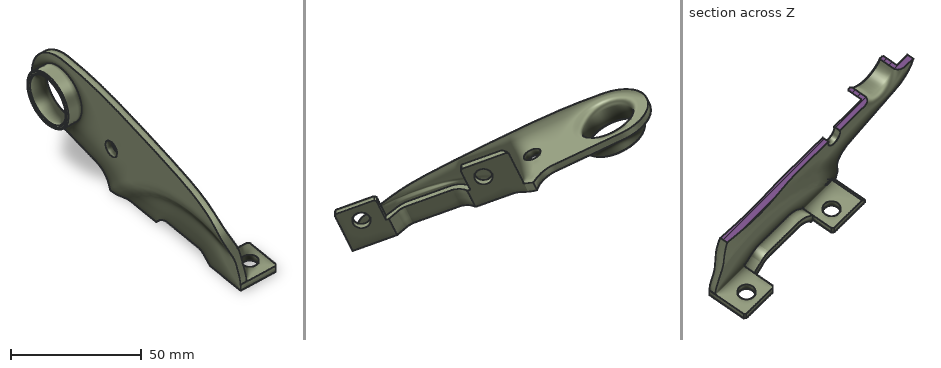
import cadquery as cq
import math

boss_height = 7.0
sheet_thickness = 3.01
plate_front = boss_height
panel_front = plate_front + sheet_thickness
panel_back = panel_front + sheet_thickness
pad_back = 18.0
tab_back = 28.0

length = 122.8
height = 48.0

joggle_x = 95.7
joggle_z = -35.3
joggle_outer_radius = 60.3
joggle_inner_radius = 53.9
outer_bend_tangent = 2.5
inner_bend_tangent = 1.2
back_shift = 2.3
sheet_reach = 147.4

boss_x = 17.8
boss_z = 30.7
boss_diameter = 25.0
bore_diameter = 21.5
boss_chamfer = 0.5
bore_flare_radius = 3.0
pivot_x = 48.2
pivot_z = 22.8
hole_diameter = 7.0

tab_thickness = 3.1
left_tab_start = 50.5
left_tab_end = 70.5
left_tab_bevel = 2.6
right_tab_start = 105.5
tab_hole_xs = (63.5, 114.2)
tab_hole_y = 21.5
tab_corner = 0.7
tab_root_fillet = 1.0

notch_start = 71.7
notch_flat_start = 77.8
notch_flat_end = 97.7
notch_end = 104.3
notch_height = 4.4
pad_top = 7.6


def xz_plane(y):
    """Sketch plane at depth y; its local axes are X and Z and its normal points toward -Y."""
    return cq.Workplane("XZ", origin=(0, y, 0))


def extrude_y(sketch, depth):
    """Extrude an XZ sketch toward +Y."""
    return sketch.extrude(-depth)


def cylinder_y(x, z, diameter, y_start, y_end):
    return extrude_y(xz_plane(y_start).center(x, z).circle(diameter / 2), y_end - y_start)


def bend_ends(outer_radius, inner_radius, y_outer):
    """Start and end points of the two tangent bends of one joggle surface, from outside in."""
    run = outer_radius - inner_radius
    slope = math.atan2(sheet_thickness, run)

    def along(tangent):
        return tangent * math.cos(slope), tangent * math.sin(slope)

    outer_run, outer_rise = along(outer_bend_tangent)
    inner_run, inner_rise = along(inner_bend_tangent)
    y_inner = y_outer + sheet_thickness
    return (
        (outer_radius + outer_bend_tangent, y_outer),
        (outer_radius - outer_run, y_outer + outer_rise),
        (inner_radius + inner_run, y_inner - inner_rise),
        (inner_radius - inner_bend_tangent, y_inner),
    )


def joggled_sheet():
    """Round sheet whose center is pushed back by one sheet thickness."""
    front = bend_ends(joggle_outer_radius, joggle_inner_radius, plate_front)
    back = bend_ends(joggle_outer_radius + back_shift, joggle_inner_radius + back_shift, panel_front)
    profile = (
        cq.Workplane("XY")
        .moveTo(sheet_reach, plate_front)
        .lineTo(*front[0])
        .tangentArcPoint(front[1], relative=False)
        .lineTo(*front[2])
        .tangentArcPoint(front[3], relative=False)
        .lineTo(0, panel_front)
        .lineTo(0, panel_back)
        .lineTo(*back[3])
        .tangentArcPoint(back[2], relative=False)
        .lineTo(*back[1])
        .tangentArcPoint(back[0], relative=False)
        .lineTo(sheet_reach, panel_front)
        .close()
    )
    return profile.revolve(360, (0, 0), (0, 1)).translate((joggle_x, 0, joggle_z))


def arm_outline():
    """Solid through both sheet layers, bounded by the silhouette of the arm."""
    sketch = (
        xz_plane(plate_front)
        .moveTo(left_tab_start, 0)
        .lineTo(47.3, 1.0)
        .lineTo(46.8, 3.3)
        .threePointArc((44.1, 7.6), (38.5, 10.2))
        .lineTo(11.4, 15.4)
        .threePointArc((3.2, 20.0), (0, 29.0))
        .threePointArc((5.9, 42.9), (20.0, height))
        .spline(
            [
                (27.0, 47.9),
                (65.1, 42.0),
                (86.0, 37.1),
                (100.6, 32.3),
                (108.7, 27.6),
                (116.5, 19.0),
                (121.4, 8.6),
                (length, 0),
            ],
            tangents=[(1, 0), (0, -1)],
            includeCurrent=True,
        )
        .close()
    )
    return extrude_y(sketch, panel_back - plate_front)


def notch():
    sketch = (
        xz_plane(0)
        .moveTo(notch_start, 0)
        .threePointArc((74.2, 2.7), (notch_flat_start, notch_height))
        .lineTo(notch_flat_end, notch_height)
        .threePointArc((99.5, 3.8), (101.0, 2.7))
        .lineTo(notch_end, 0)
        .close()
    )
    return extrude_y(sketch, tab_back)


def pad():
    """Raised shelf that follows the notch and joins both tabs."""
    sketch = (
        xz_plane(panel_front)
        .moveTo(left_tab_end, 0)
        .lineTo(left_tab_end, tab_thickness)
        .lineTo(73.1, 5.3)
        .threePointArc((75.7, 6.9), (78.6, pad_top))
        .lineTo(96.8, pad_top)
        .threePointArc((99.4, 7.0), (101.6, 5.7))
        .lineTo(right_tab_start, tab_thickness)
        .lineTo(right_tab_start, 0)
        .close()
    )
    return extrude_y(sketch, pad_back - panel_front)


def tab(x_start, x_end, start_bevel, root_start):
    """Flat foot with clipped rear corners and a small fillet where it meets the panel."""
    foot = extrude_y(
        xz_plane(panel_front).polyline(
            [(x_start, 0), (x_start + start_bevel, tab_thickness), (x_end, tab_thickness), (x_end, 0)]
        ).close(),
        tab_back - panel_front,
    )
    foot = foot.intersect(
        cq.Workplane("XY")
        .polyline(
            [
                (x_start, panel_front),
                (x_end, panel_front),
                (x_end, tab_back - tab_corner),
                (x_end - tab_corner, tab_back),
                (x_start + tab_corner, tab_back),
                (x_start, tab_back - tab_corner),
            ]
        )
        .close()
        .extrude(tab_thickness)
    )
    root = (
        cq.Workplane("YZ", origin=(root_start, 0, 0))
        .moveTo(panel_back, tab_thickness)
        .lineTo(panel_back + tab_root_fillet, tab_thickness)
        .radiusArc((panel_back, tab_thickness + tab_root_fillet), tab_root_fillet)
        .close()
        .extrude(x_end - root_start)
    )
    return foot.union(root)


def boss():
    ring = cylinder_y(boss_x, boss_z, boss_diameter, 0, panel_front)
    return ring.faces("<Y").edges().chamfer(boss_chamfer)


def bore():
    """Bore with a chamfered mouth and a rounded flare through the plate thickness."""
    radius = bore_diameter / 2
    profile = (
        cq.Workplane("XY")
        .lineTo(radius + boss_chamfer, 0)
        .lineTo(radius, boss_chamfer)
        .lineTo(radius, panel_front - bore_flare_radius)
        .tangentArcPoint((radius + bore_flare_radius, panel_front), relative=False)
        .lineTo(0, panel_front)
        .close()
    )
    return profile.revolve(360, (0, 0), (0, 1)).translate((boss_x, 0, boss_z))


result = joggled_sheet().intersect(arm_outline())
result = result.union(boss()).union(pad())
result = result.union(tab(left_tab_start, left_tab_end, left_tab_bevel, left_tab_start + left_tab_bevel))
result = result.union(tab(right_tab_start, length, 0, right_tab_start))
result = result.cut(notch()).cut(bore())
result = result.cut(cylinder_y(pivot_x, pivot_z, hole_diameter, 0, tab_back))
tab_holes = cq.Workplane("XY").pushPoints([(x, tab_hole_y) for x in tab_hole_xs])
result = result.cut(tab_holes.circle(hole_diameter / 2).extrude(tab_thickness))